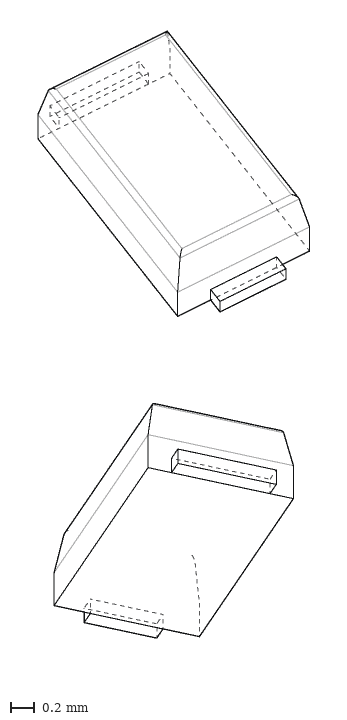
import cadquery as cq
import math

overall_length = 2.5
housing_width = 1.3
housing_height = 0.73

lead_projection = 0.148
lead_thickness = 0.145
wide_lead_width = 0.88
narrow_lead_width = 0.65

housing_length = overall_length - 2 * lead_projection
base_height = 0.332
draft_angle = 10.0
rim_radius = 0.05

cap_height = housing_height - base_height
cap_inset = cap_height * math.tan(math.radians(draft_angle))


def make_housing():
    """Rectangular base with a drafted cap, rounded around its top face."""
    base = cq.Workplane("XY").rect(housing_length, housing_width).extrude(base_height)
    cap = (
        cq.Workplane("XY", origin=(0, 0, base_height))
        .rect(housing_length, housing_width)
        .workplane(offset=cap_height)
        .rect(housing_length - 2 * cap_inset, housing_width - 2 * cap_inset)
        .loft(ruled=True)
    )
    return base.union(cap).faces(">Z").edges().fillet(rim_radius)


def make_lead(side, width):
    """Flat lead against one end of the housing; side is -1 or +1 along X."""
    center_x = side * (housing_length + lead_projection) / 2
    return cq.Workplane("XY", origin=(center_x, 0, 0)).rect(lead_projection, width).extrude(lead_thickness)


housing = make_housing()
leads = [make_lead(side, width) for side, width in ((-1, wide_lead_width), (1, narrow_lead_width))]

result = cq.Compound.makeCompound([housing.solids().val(), *[lead.val() for lead in leads]])